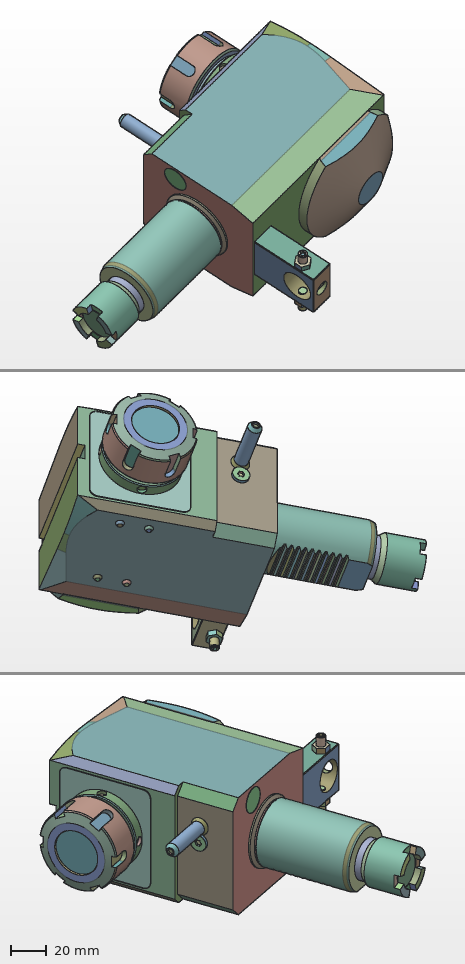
import cadquery as cq
import math


block_depth = 116.0
block_height = 75.0
half_height = block_height / 2
block_left = -42.0
block_right = 39.5
front_left = -38.9
step_y = 35.5
left_chamfer = 4.4
front_chamfer = 6.0
side_taper = 15
taper_length = 15.0
spindle_y = 80.0

crown_x = -13.2
crown_drop = 0.8
crown_left_radius = 115.0
crown_right_radius = 192.3
crown_arc_angle = 4.3
crown_length = 21.0
crown_overhang = 8.4

back_slot_width = 10.0
back_slot_depth = 4.2
plate_size = 58.3
plate_height = 63.1
plate_corner = 4.5
plate_thickness = 0.6
plug_x, plug_z = -16.0, 27.8
plug_radius = 7.7
plug_recess = 0.2
stud_height = 1.7
stud_radius = 2.5
stud_tip_radius = 1.5
stud_xs = (-30.3, 16.5)
stud_offset = 8.4

nut_tip = -74.6
nut_end = -52.2
nut_radius = 24.9
nut_face_radius = 18.4
nut_bore_radius = 13.8
nut_rim_x = -72.7
nut_rim_radius = 24.2
nut_barrel_x = -72.0
nut_recess = 1.5
nut_end_chamfer = 1.0
neck_radius = 21.0
ring_start = -49.7
ring_radius = 24.0
ring_chamfer = 0.6
nut_slots = 6
nut_slot_width = 6.7
nut_side_slot_end = -61.5
nut_slot_end = -57.5
nut_slot_floor = 22.0
ring_holes = 4
ring_hole_x = -46.0
ring_hole_radius = 2.7
ring_hole_depth = 2.0

cap_radius = 39.5
cap_rim = 45.4
cap_end = 59.0
cap_end_radius = 10.7
cap_back = 111.8
cap_break = 41.2
cap_trim_angle = 10
cap_trim_step = 0.2

collar_radius = 21.5
collar_length = 1.0
collar_taper_end = 2.5
shank_radius = 20.0
undercut_radius = 19.5
undercut_end = 3.8
shank_taper_start = 59.5
shank_taper_end = 61.9
shank_end = 63.0
shank_end_radius = 19.0

drive_neck_radius = 12.5
drive_cone_start = 67.0
drive_cone_end = 70.2
drive_radius = 14.6
dog_height = 3.8
drive_length = 93.0
dog_bore_radius = 10.0
dog_bore_depth = 4.2
dog_slots = 4
dog_slot_angle = 33

flat_z = -16.3
flat_start = 9.2
tooth_count = 10
tooth_pitch = 4.0
first_gap = 11.5
gap_depth = 1.5
gap_width = 3.1
gap_root_width = 0.8

pin_y, pin_z = 21.3, 16.0
pin_radius = 4.2
pin_end = -71.7
pin_tip_radius = 2.5
pin_tip_length = 2.3
flange_radius = 5.5
flange_height = 2.0
screw_z = 6.3
screw_radius = 5.0
screw_head_height = 1.9
socket_size = 4.0
socket_depth = 1.5

arm_end = 82.0
arm_front, arm_back = 1.3, 16.3
arm_half_height = 15.0
arm_chamfer = 0.5
eye_x = 70.2
eye_radius = 9.6
end_hole_radius = 4.4
set_screw_y = 6.3
set_screw_radius = 2.7
set_screw_end = 24.9
set_screw_chamfer = 0.5
set_screw_socket = 3.1
lock_nut_size = 9.8
lock_nut_height = 3.5

overlap = 2.0


def turned_x(points, y=0.0, z=0.0):
    """Body of revolution around a line along X, from (x, radius) points."""
    return cq.Workplane("XY", origin=(0, y, z)).polyline(points).close().revolve(360, (0, 0), (1, 0))


def turned_y(points):
    """Body of revolution around the Y axis, from (radius, y) points."""
    return cq.Workplane("XY").polyline(points).close().revolve(360, (0, 0), (0, 1))


def make_section(left, chamfer, start, end):
    """Block stretch between two Y places: chamfered on the left, tapered on the right."""
    right_half = half_height - taper_length * math.tan(math.radians(side_taper))
    upper = [
        (left, half_height - chamfer),
        (left + chamfer, half_height),
        (block_right - taper_length, half_height),
        (block_right, right_half),
    ]
    lower = [(x, -z) for x, z in reversed(upper)]
    return cq.Workplane("XZ", origin=(0, end, 0)).polyline(upper + lower).close().extrude(end - start)


def make_crown():
    """Drafted envelope of the back end; its outline is curved above and below."""
    peak_z = half_height - crown_drop
    left_x = block_left - crown_overhang
    right_x = block_right + crown_overhang
    left_angle = math.asin((crown_x - left_x) / crown_left_radius)
    right_angle = math.radians(crown_arc_angle)

    def left_point(angle):
        return (
            crown_x - crown_left_radius * math.sin(angle),
            peak_z - crown_left_radius * (1 - math.cos(angle)),
        )

    def right_point(angle):
        return (
            crown_x + crown_right_radius * math.sin(angle),
            peak_z - crown_right_radius * (1 - math.cos(angle)),
        )

    def below(point):
        return (point[0], -point[1])

    arc_end = right_point(right_angle)
    corner = (right_x, arc_end[1] - (right_x - arc_end[0]) * math.tan(right_angle))
    peak = (crown_x, peak_z)
    outline = (
        cq.Workplane("XZ", origin=(0, block_depth, 0))
        .moveTo(*left_point(left_angle))
        .threePointArc(left_point(left_angle / 2), peak)
        .threePointArc(right_point(right_angle / 2), arc_end)
        .lineTo(*corner)
        .lineTo(*below(corner))
        .lineTo(*below(arc_end))
        .threePointArc(below(right_point(right_angle / 2)), below(peak))
        .threePointArc(below(left_point(left_angle / 2)), below(left_point(left_angle)))
        .close()
    )
    return outline.extrude(crown_length, taper=-side_taper)


def make_block():
    front = make_section(front_left, front_chamfer, 0, step_y)
    middle = make_section(block_left, left_chamfer, step_y, block_depth - crown_length)
    back = make_section(block_left, left_chamfer, block_depth - crown_length, block_depth)
    block = front.union(middle).union(back.intersect(make_crown()))
    plug_seat = cq.Workplane("XZ").center(plug_x, plug_z).circle(plug_radius).extrude(-plug_recess)
    return block.cut(plug_seat)


def make_plate():
    return (
        cq.Workplane("YZ", origin=(block_left - plate_thickness, spindle_y, 0))
        .rect(plate_size, plate_height)
        .extrude(plate_thickness + overlap)
        .edges("|X")
        .fillet(plate_corner)
    )


def make_studs():
    places = [(x, spindle_y + side * stud_offset) for x in stud_xs for side in (-1, 1)]
    draft = math.degrees(math.atan((stud_radius - stud_tip_radius) / stud_height))
    return (
        cq.Workplane("XY", origin=(0, 0, -half_height))
        .pushPoints(places)
        .circle(stud_radius)
        .extrude(-stud_height, taper=draft)
    )


def make_nut_slot(end_x):
    """Round-ended wrench slot on the top of the clamping nut, open at the nut tip."""
    half_width = nut_slot_width / 2
    return (
        cq.Workplane("XY", origin=(0, spindle_y, nut_slot_floor))
        .moveTo(nut_tip - overlap, -half_width)
        .lineTo(end_x - half_width, -half_width)
        .threePointArc((end_x, 0), (end_x - half_width, half_width))
        .lineTo(nut_tip - overlap, half_width)
        .close()
        .extrude(nut_radius)
    )


def make_spindle():
    """Clamping nut, neck and ring, with the nut slots and ring holes."""
    body = turned_x(
        [
            (nut_tip + nut_recess, 0),
            (nut_tip + nut_recess, nut_bore_radius),
            (nut_tip, nut_bore_radius),
            (nut_tip, nut_face_radius),
            (nut_rim_x, nut_rim_radius),
            (nut_barrel_x, nut_radius),
            (nut_end - nut_end_chamfer, nut_radius),
            (nut_end, nut_radius - nut_end_chamfer),
            (nut_end, neck_radius),
            (ring_start, neck_radius),
            (ring_start, ring_radius - ring_chamfer),
            (ring_start + ring_chamfer, ring_radius),
            (block_left + overlap, ring_radius),
            (block_left + overlap, 0),
        ],
        y=spindle_y,
    )
    hole = (
        cq.Workplane("XY", origin=(ring_hole_x, spindle_y, ring_radius - ring_hole_depth))
        .circle(ring_hole_radius)
        .extrude(nut_radius)
    )
    axis = ((0, spindle_y, 0), (1, spindle_y, 0))
    for index in range(nut_slots):
        is_level = index % (nut_slots // 2) == 0
        slot = make_nut_slot(nut_side_slot_end if is_level else nut_slot_end)
        body = body.cut(slot.rotate(*axis, 90 + index * 360 / nut_slots))
    for index in range(ring_holes):
        body = body.cut(hole.rotate(*axis, index * 360 / ring_holes))
    return body


def make_cap():
    """Conical cover cap, trimmed along the block taper above and below and flat at the back."""
    cone = turned_x(
        [
            (block_right - overlap, 0),
            (block_right - overlap, cap_radius),
            (cap_rim, cap_radius),
            (cap_end, cap_end_radius),
            (cap_end, 0),
        ],
        y=spindle_y,
    )

    start_x = block_right - overlap
    start_z = half_height - (taper_length - overlap) * math.tan(math.radians(side_taper))
    start_z -= cap_trim_step
    break_z = start_z - (cap_break - start_x) * math.tan(math.radians(side_taper))
    end_z = break_z - (cap_end - cap_break) * math.tan(math.radians(cap_trim_angle))
    upper = [(start_x, start_z), (cap_break, break_z), (cap_end, end_z)]
    lower = [(x, -z) for x, z in reversed(upper)]
    envelope = cq.Workplane("XZ", origin=(0, cap_back, 0)).polyline(upper + lower).close().extrude(cap_back)
    return cone.intersect(envelope)


def make_back_slot():
    """Slot across the whole back face."""
    length = 2 * (cap_end - block_left)
    slot = cq.Workplane("XY").box(length, 2 * back_slot_depth, back_slot_width)
    return slot.translate((0, block_depth, 0))


def make_shank():
    body = turned_y(
        [
            (0, overlap),
            (collar_radius, overlap),
            (collar_radius, -collar_length),
            (undercut_radius, -collar_taper_end),
            (undercut_radius, -undercut_end),
            (shank_radius, -undercut_end),
            (shank_radius, -shank_taper_start),
            (undercut_radius, -shank_taper_end),
            (shank_end_radius, -shank_end),
            (drive_neck_radius, -shank_end),
            (drive_neck_radius, -drive_cone_start),
            (drive_radius, -drive_cone_end),
            (drive_radius, -drive_length),
            (0, -drive_length),
        ]
    )
    return body.cut(make_dog_gaps()).cut(make_toothed_flat())


def make_dog_gaps():
    """Bore and radial-sided gaps that leave the driving dogs at the shank tip."""
    tip = cq.Workplane("XZ", origin=(0, -drive_length, 0))
    gaps = tip.circle(dog_bore_radius).extrude(-dog_bore_depth)
    reach = 2 * drive_radius
    half_gap = reach * math.tan(math.radians(dog_slot_angle / 2))
    wedge = tip.polyline([(0, 0), (reach, half_gap), (reach, -half_gap)]).close().extrude(-dog_height)
    for index in range(dog_slots):
        gaps = gaps.union(wedge.rotate((0, 0, 0), (0, 1, 0), index * 360 / dog_slots))
    return gaps


def make_toothed_flat():
    """Material removed under the shank: a flat with a 45 degree run-in and a row of tooth gaps."""
    width = 2 * shank_radius
    lowest = -width
    run_in_z = flat_z - (flat_start - undercut_end)
    side = cq.Workplane("YZ", origin=(-shank_radius, 0, 0))
    outline = side.polyline(
        [
            (-shank_end, flat_z),
            (-flat_start, flat_z),
            (-undercut_end, run_in_z),
            (-undercut_end, lowest),
            (-shank_end, lowest),
        ]
    ).close()
    removed = outline.extrude(width)
    for index in range(tooth_count):
        y = -first_gap - index * tooth_pitch
        gap = side.polyline(
            [
                (y - gap_width / 2, flat_z),
                (y - gap_root_width / 2, flat_z + gap_depth),
                (y + gap_root_width / 2, flat_z + gap_depth),
                (y + gap_width / 2, flat_z),
            ]
        ).close()
        removed = removed.union(gap.extrude(width))
    return removed


def make_pin():
    flange_face = front_left - flange_height
    pin = turned_x(
        [
            (pin_end, 0),
            (pin_end, pin_tip_radius),
            (pin_end + pin_tip_length, pin_radius),
            (flange_face, pin_radius),
            (front_left, flange_radius),
            (front_left + overlap, flange_radius),
            (front_left + overlap, 0),
        ],
        y=pin_y,
        z=pin_z,
    )
    socket = cq.Workplane("YZ", origin=(pin_end, pin_y, pin_z)).polygon(6, socket_size).extrude(socket_depth)
    return pin.cut(socket)


def make_screw():
    head_face = front_left - screw_head_height
    head = (
        cq.Workplane("YZ", origin=(head_face, pin_y, screw_z))
        .circle(screw_radius)
        .extrude(screw_head_height + overlap)
    )
    socket = cq.Workplane("YZ", origin=(head_face, pin_y, screw_z)).polygon(6, socket_size).extrude(socket_depth)
    return head.cut(socket)


def make_arm():
    """Arm with a cross eye, an end hole into the eye, and a set screw above and below."""
    arm_middle = (arm_front + arm_back) / 2
    length = arm_end - block_right + overlap
    arm = (
        cq.Workplane("XY")
        .box(length, arm_back - arm_front, 2 * arm_half_height)
        .translate((arm_end - length / 2, arm_middle, 0))
        .edges("not(<X)")
        .chamfer(arm_chamfer)
    )
    eye = cq.Workplane("XZ", origin=(eye_x, arm_back, 0)).circle(eye_radius).extrude(arm_back - arm_front)
    end_hole = (
        cq.Workplane("YZ", origin=(eye_x, arm_middle, 0)).circle(end_hole_radius).extrude(arm_end - eye_x)
    )
    arm = arm.cut(eye).cut(end_hole)

    axis_plane = cq.Workplane("XY", origin=(eye_x, set_screw_y, 0))
    screw_start = eye_radius - set_screw_chamfer
    screw = (
        axis_plane.workplane(offset=screw_start)
        .circle(set_screw_radius)
        .extrude(set_screw_end - screw_start)
        .faces("<Z or >Z")
        .chamfer(set_screw_chamfer)
        .cut(
            axis_plane.workplane(offset=set_screw_end - socket_depth)
            .polygon(6, set_screw_socket)
            .extrude(socket_depth)
        )
    )
    lock_nut = axis_plane.workplane(offset=arm_half_height).polygon(6, lock_nut_size).extrude(lock_nut_height)
    fastener = lock_nut.union(screw)
    return arm.union(fastener).union(fastener.mirror("XY"))


result = (
    make_block()
    .union(make_plate())
    .union(make_studs())
    .union(make_spindle())
    .union(make_cap())
    .cut(make_back_slot())
    .union(make_shank())
    .union(make_pin())
    .union(make_screw())
    .union(make_arm())
)